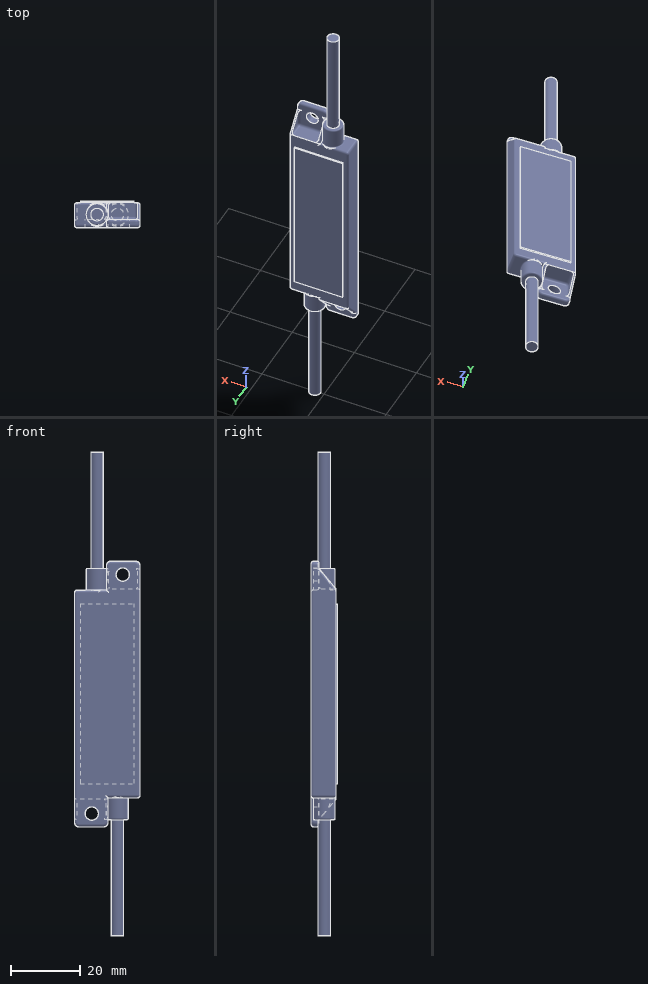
import cadquery as cq
import math

total_length = 140.0
housing_width = 19.0
housing_length = 77.0
housing_depth = 7.3
label_pad_height = 0.4
total_depth = housing_depth + label_pad_height

tongue_length = 8.4
tongue_overlap = 0.3
tongue_tip_thickness = 2.4
tongue_corner_radius = 1.4
slope_start_inset = 8.1
slope_end_inset = 2.2

rib_thickness = 0.7
pocket_corner_radius = 0.8

shoulder_corner_radius = 0.8
front_edge_radius = 0.8
back_edge_radius = 0.7

hole_diameter = 3.8
hole_x = 4.5
hole_z = 34.6

label_pad_width = 15.5
label_pad_length = 52.1

cable_x = 3.0
cable_y = total_depth / 2
cable_diameter = 3.6
collar_diameter = 6.3
collar_length = 6.3
collar_edge_radius = 0.4
collar_root_radius = 0.3
collar_embedded_length = 0.7

half_width = housing_width / 2
half_length = housing_length / 2
tongue_width = half_width + tongue_overlap
tongue_centre_x = half_width - tongue_width / 2
pocket_width = tongue_width - 2 * rib_thickness
shoulder_z = half_length - tongue_length
slope_start_z = half_length - slope_start_inset
slope_end_z = half_length - slope_end_inset
collar_end_z = shoulder_z + collar_length
cable_length = total_length / 2 - collar_end_z

FLAT_TOLERANCE = 1e-6
END_TURNS = (0, 180)


def turned(shape, angle):
    """Turn a shape about the Y axis."""
    return shape.rotate((0, 0, 0), (0, 1, 0), angle)


def plane_at(y):
    """Plane parallel to the front face, with local X along X and local Y along Z."""
    return cq.Workplane("XZ", origin=(0, y, 0))


def housing_block():
    """S-shaped block: a rectangle with a notch beside each tongue, its outer corners rounded."""
    block = plane_at(0).polyline([
        (-half_width, -half_length),
        (tongue_overlap, -half_length),
        (tongue_overlap, -shoulder_z),
        (half_width, -shoulder_z),
        (half_width, half_length),
        (-tongue_overlap, half_length),
        (-tongue_overlap, shoulder_z),
        (-half_width, shoulder_z),
    ]).close().extrude(-housing_depth)
    block = block.edges("|Y and (<Z or >Z)").fillet(tongue_corner_radius)
    block = block.edges("|Y and (<X or >X)").fillet(shoulder_corner_radius)
    return block.faces("<Y").edges().fillet(front_edge_radius)


def tongue_back_cut():
    """Material removed behind the upper tongue: a slope, then a straight thin tip."""
    return (
        cq.Workplane("YZ", origin=(-tongue_overlap, 0, 0))
        .moveTo(housing_depth, slope_start_z)
        .lineTo(tongue_tip_thickness, slope_end_z)
        .lineTo(tongue_tip_thickness, half_length)
        .lineTo(housing_depth, half_length)
        .close()
        .extrude(tongue_width)
    )


def screw_pocket():
    """Cutter for the pocket between the ribs, open at the back and at the tip."""
    pocket = cq.Workplane("XY").box(
        pocket_width, housing_depth, slope_start_inset, centered=(True, False, False)
    )
    pocket = pocket.edges("<Y or (|Y and <Z)").edges("not >Z").fillet(pocket_corner_radius)
    return pocket.translate((tongue_centre_x, tongue_tip_thickness, slope_start_z))


def round_back_edges(body):
    """Round the rim of the back, along the flat back, the slopes and the thin tips."""
    back_faces = [face for face in body.faces("%Plane").vals() if face.normalAt().y > FLAT_TOLERANCE]
    back_edges = [edge for face in back_faces for edge in face.Edges()]
    rim = [edge for edge in back_edges if sum(edge.isSame(other) for other in back_edges) == 1]
    return body.newObject(rim).fillet(back_edge_radius)


def collar():
    """Upper collar, standing on the shoulder beside the tongue, with a flared foot."""
    collar_radius = collar_diameter / 2
    foot_radius = collar_radius + collar_root_radius
    rim_z = collar_length - collar_edge_radius
    bend = math.sqrt(0.5)
    profile = (
        cq.Workplane("XZ")
        .moveTo(0, -collar_embedded_length)
        .lineTo(foot_radius, -collar_embedded_length)
        .lineTo(foot_radius, 0)
        .threePointArc(
            (foot_radius - collar_root_radius * bend, collar_root_radius * (1 - bend)),
            (collar_radius, collar_root_radius),
        )
        .lineTo(collar_radius, rim_z)
        .threePointArc(
            (collar_radius - collar_edge_radius * (1 - bend), rim_z + collar_edge_radius * bend),
            (collar_radius - collar_edge_radius, collar_length),
        )
        .lineTo(0, collar_length)
        .close()
    )
    return profile.revolve(360, (0, 0), (0, 1)).translate((-cable_x, cable_y, shoulder_z))


def label_pad():
    """Thin raised rectangle on the back face."""
    return plane_at(housing_depth).rect(label_pad_width, label_pad_length).extrude(-label_pad_height)


def mounting_hole():
    """Cutter for the hole through the upper tongue."""
    return plane_at(0).center(hole_x, hole_z).circle(hole_diameter / 2).extrude(-housing_depth)


def make_housing():
    body = housing_block()
    for angle in END_TURNS:
        body = body.cut(turned(tongue_back_cut(), angle))
    body = round_back_edges(body)
    for angle in END_TURNS:
        body = body.cut(turned(screw_pocket(), angle))
        body = body.union(turned(collar(), angle))
        body = body.cut(turned(mounting_hole(), angle))
    return body.union(label_pad())


def make_cable(angle):
    """Round cable starting at the end face of a collar."""
    cable = cq.Workplane("XY", origin=(-cable_x, cable_y, collar_end_z))
    return turned(cable.circle(cable_diameter / 2).extrude(cable_length), angle)


housing = make_housing()
cables = [make_cable(angle) for angle in END_TURNS]

result = cq.Compound.makeCompound([housing.val(), *[cable.val() for cable in cables]])